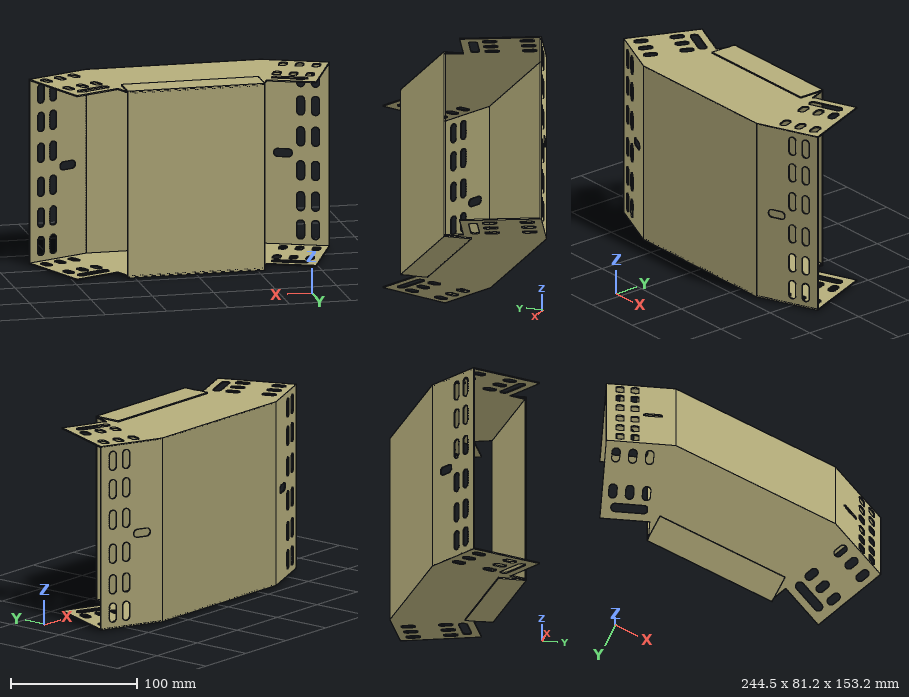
import cadquery as cq
import math

length = 244.5
tray_height = 151.2
sheet = 1.0
bend_angle = 22.5
flange_width = 65.0
middle_width = 142.4
notch_from_tip = 39.9

cover_length = 111.5
cover_lip = 22.7
cover_back = 80.5
cover_height = tray_height + 2 * sheet

flange_slot_length = 11.5
flange_slot_width = 6.4
flange_slot_start = 8.5
flange_slot_pitch = 13.5
flange_slot_columns = 3
flange_slot_rows = (11.7, 41.8)
long_slot_length = 29.4
long_slot_width = 6.8
long_slot_place = (22.7, 55.3)
front_slot_length = 15.7
front_slot_width = 6.4
front_slot_columns = (11.0, 23.0)
front_slot_heights = (14.0, 39.1, 62.5)
cross_slot_length = 15.0
cross_slot_width = 6.5
cross_slot_from_end = 37.2

across_wing = 90
overrun = 1.2

cosine = math.cos(math.radians(bend_angle))
sine = math.sin(math.radians(bend_angle))
half_length = length / 2
half_middle = middle_width / 2
wing_rise = (half_length - half_middle) * sine / cosine
flange_rear = cover_back - sheet


def wing_point(along, inward):
    """Point on the +X wing, 'along' from its end and 'inward' from its front face."""
    x = half_length - along * cosine - inward * sine
    y = wing_rise - along * sine + inward * cosine
    return x, y


def mirrored_outline(right_half):
    """Closed outline from its +X points, listed front to rear."""
    left_half = [(-x, y) for x, y in reversed(right_half)]
    return right_half + left_half


def tray_blank():
    """Solid prism of the tray outline, notched at the rear beside each wing."""
    notch_x, notch_y = wing_point(notch_from_tip, flange_width)
    notch_top_x = notch_x - (flange_rear - notch_y) * sine / cosine
    outline = mirrored_outline([
        (half_middle, 0),
        wing_point(0, 0),
        wing_point(0, flange_width),
        (notch_x, notch_y),
        (notch_top_x, flange_rear),
    ])
    return cq.Workplane("XY").polyline(outline).close().extrude(tray_height / 2, both=True)


def tray_cavity():
    """Space between the flanges and behind the front wall, open at the ends and rear."""
    bend_inset = sheet * math.tan(math.radians(bend_angle / 2))
    outline = mirrored_outline([
        (half_middle - bend_inset, sheet),
        wing_point(-overrun, sheet),
        wing_point(-overrun, flange_width + overrun),
    ])
    inner_height = tray_height - 2 * sheet
    return cq.Workplane("XY").polyline(outline).close().extrude(inner_height / 2, both=True)


def flange_slots():
    """Cutters through both flanges of the +X wing."""
    wing_end = wing_point(0, 0)
    plane = cq.Plane(origin=(*wing_end, 0), xDir=(-cosine, -sine, 0), normal=(0, 0, -1))
    short_places = [
        (flange_slot_start + column * flange_slot_pitch, row)
        for column in range(flange_slot_columns)
        for row in flange_slot_rows
    ]
    short_slots = (
        cq.Workplane(plane)
        .pushPoints(short_places)
        .slot2D(flange_slot_length, flange_slot_width, across_wing)
        .extrude(tray_height, both=True)
    )
    long_slot = (
        cq.Workplane(plane)
        .center(*long_slot_place)
        .slot2D(long_slot_length, long_slot_width)
        .extrude(tray_height, both=True)
    )
    return short_slots.union(long_slot)


def front_slots():
    """Cutters through the front wall of the +X wing, square to that wall."""
    wing_end = wing_point(0, 0)
    plane = cq.Plane(origin=(*wing_end, 0), xDir=(-cosine, -sine, 0), normal=(-sine, cosine, 0))
    upright_places = [
        (column, side * height)
        for column in front_slot_columns
        for height in front_slot_heights
        for side in (-1, 1)
    ]
    upright_slots = (
        cq.Workplane(plane)
        .pushPoints(upright_places)
        .slot2D(front_slot_length, front_slot_width, across_wing)
        .extrude(sheet + overrun, both=True)
    )
    cross_slot = (
        cq.Workplane(plane)
        .center(cross_slot_from_end, 0)
        .slot2D(cross_slot_length, cross_slot_width)
        .extrude(sheet + overrun, both=True)
    )
    return upright_slots.union(cross_slot)


def make_tray():
    """Bent channel with two slotted wings, symmetric about X = 0."""
    tray = tray_blank().cut(tray_cavity())
    for slots in (flange_slots(), front_slots()):
        tray = tray.cut(slots).cut(slots.mirror("YZ"))
    return tray


def make_cover():
    """Rear plate with a lip folded forward over each middle flange."""
    outer = cq.Workplane("XY").box(cover_length, cover_lip, cover_height)
    space = cq.Workplane("XY").box(cover_length, cover_lip, tray_height).translate((0, -sheet, 0))
    return outer.cut(space).translate((0, cover_back - cover_lip / 2, 0))


tray = make_tray()
cover = make_cover()
result = cq.Compound.makeCompound([tray.val(), cover.val()])